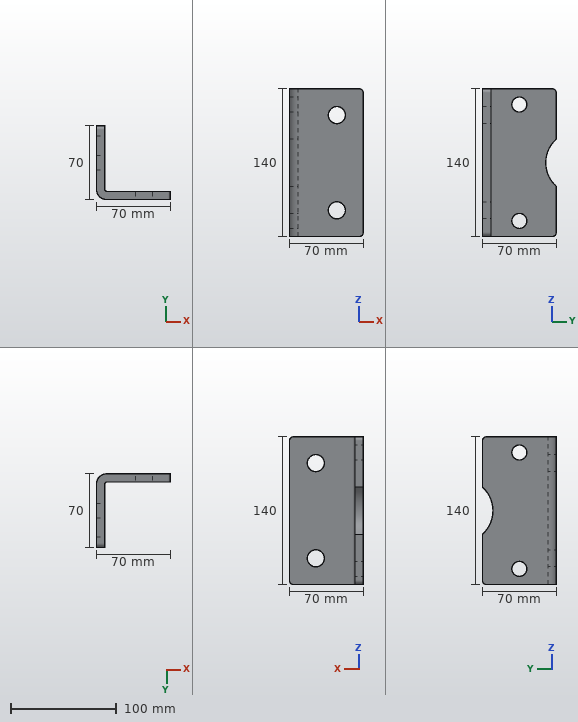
import cadquery as cq

height = 140.0
leg = 70.0
thickness = 8.0
bend_outer_radius = 10.0
bend_inner_radius = bend_outer_radius - thickness
corner_radius = 4.0

front_hole_diameter = 16.0
front_hole_x = 45.0
front_hole_spacing = 90.0

side_hole_diameter = 14.0
side_hole_y = 35.0
side_hole_spacing = 110.0

notch_radius = 30.0
notch_depth = 10.0


def bent_plate():
    """L-shaped section with a rounded bend, centred on Z = 0."""
    section = (
        cq.Workplane("XY")
        .polyline([
            (0, 0), (leg, 0), (leg, thickness),
            (thickness, thickness), (thickness, leg), (0, leg),
        ])
        .close()
    )
    plate = section.extrude(height / 2, both=True)
    plate = plate.edges(cq.selectors.NearestToPointSelector((0, 0, 0))).fillet(bend_outer_radius)
    inner_edge = cq.selectors.NearestToPointSelector((thickness, thickness, 0))
    return plate.edges(inner_edge).fillet(bend_inner_radius)


def round_free_corners(plate):
    """Round the top and bottom corners at the free end of each leg."""
    plate = plate.faces(">X").edges("|Y").fillet(corner_radius)
    return plate.faces(">Y").edges("|X").fillet(corner_radius)


def front_holes():
    """Cutters through the X leg; the XZ plane's normal points to -Y."""
    spots = [(front_hole_x, side * front_hole_spacing / 2) for side in (-1, 1)]
    return cq.Workplane("XZ").pushPoints(spots).circle(front_hole_diameter / 2).extrude(-thickness)


def side_holes():
    """Cutters through the Y leg."""
    spots = [(side_hole_y, side * side_hole_spacing / 2) for side in (-1, 1)]
    return cq.Workplane("YZ").pushPoints(spots).circle(side_hole_diameter / 2).extrude(thickness)


def edge_notch():
    """Cylinder centred beyond the free edge of the Y leg."""
    centre_y = leg - notch_depth + notch_radius
    return cq.Workplane("YZ").center(centre_y, 0).circle(notch_radius).extrude(thickness)


result = round_free_corners(bent_plate())
result = result.cut(front_holes()).cut(side_holes()).cut(edge_notch())